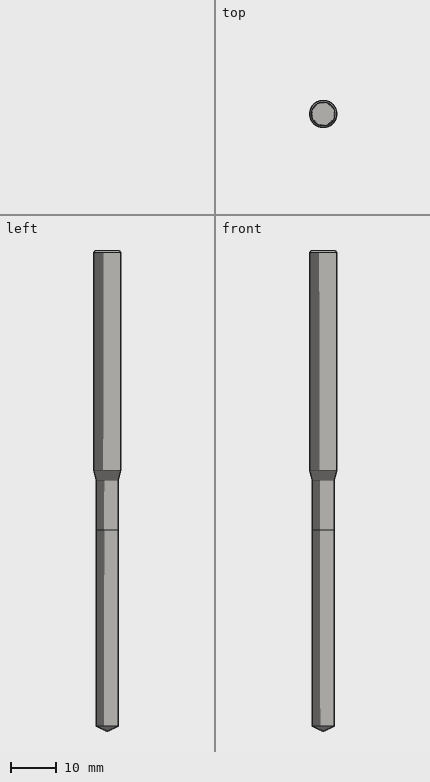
import cadquery as cq

total_length = 105.0
shank_diameter = 6.0
shank_length = 48.0
chamfer = 0.4
taper_length = 2.2
cutter_diameter = 4.8
cutter_length = 44.0
tip_height = 1.2

shank_radius = shank_diameter / 2
cutter_radius = cutter_diameter / 2
shoulder_z = total_length - shank_length
neck_top_z = shoulder_z - taper_length


def revolve_profile(outline):
    """Turn an open (radius, z) outline, closed along the axis, about the Z axis."""
    return outline.close().revolve(360, (0, 0), (0, 1))


def make_shank():
    """Chamfered shank with a taper down to a neck as wide as the cutter."""
    outline = (
        cq.Workplane("XZ")
        .moveTo(0, cutter_length)
        .lineTo(cutter_radius, cutter_length)
        .lineTo(cutter_radius, neck_top_z)
        .lineTo(shank_radius, shoulder_z)
        .lineTo(shank_radius, total_length - chamfer)
        .lineTo(shank_radius - chamfer, total_length)
        .lineTo(0, total_length)
    )
    return revolve_profile(outline)


def make_cutter():
    """Plain cylindrical cutter with a conical point."""
    outline = (
        cq.Workplane("XZ")
        .moveTo(0, 0)
        .lineTo(cutter_radius, tip_height)
        .lineTo(cutter_radius, cutter_length)
        .lineTo(0, cutter_length)
    )
    return revolve_profile(outline)


shank = make_shank()
cutter = make_cutter()

result = cq.Compound.makeCompound([shank.val(), cutter.val()])